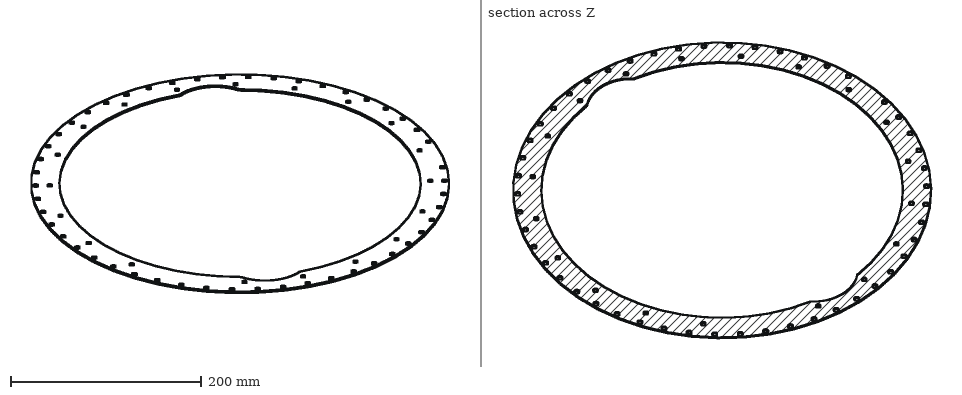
import cadquery as cq
import math

outer_diameter = 440.0
inner_diameter = 380.0
thickness = 2.0

relief_radius = 46.5
relief_center_radius = 153.0
relief_angle = 170.5

outer_hole_diameter = 5.0
outer_hole_circle_radius = 215.0
outer_hole_count = 50
outer_undrilled_index = 12

inner_hole_diameter = 4.5
inner_hole_circle_radius = 200.0
inner_hole_count = 20
inner_undrilled_index = 18


def polar_point(radius, angle_degrees):
    angle = math.radians(angle_degrees)
    return (radius * math.cos(angle), radius * math.sin(angle))


def cylinders(points, diameter):
    """Upright cylinders through the plate thickness."""
    return cq.Workplane("XY").pushPoints(points).circle(diameter / 2).extrude(thickness)


def bolt_circle(radius, count, undrilled_index):
    """Evenly spaced points counted from +X, leaving out one position."""
    pitch = 360 / count
    return [polar_point(radius, i * pitch) for i in range(count) if i != undrilled_index]


ring = cq.Workplane("XY").circle(outer_diameter / 2).circle(inner_diameter / 2).extrude(thickness)

relief_centers = [polar_point(relief_center_radius, relief_angle + turn) for turn in (0, 180)]
reliefs = cylinders(relief_centers, 2 * relief_radius)

outer_points = bolt_circle(outer_hole_circle_radius, outer_hole_count, outer_undrilled_index)
outer_holes = cylinders(outer_points, outer_hole_diameter)

inner_points = bolt_circle(inner_hole_circle_radius, inner_hole_count, inner_undrilled_index)
inner_holes = cylinders(inner_points, inner_hole_diameter)

result = ring.cut(reliefs).cut(outer_holes).cut(inner_holes)